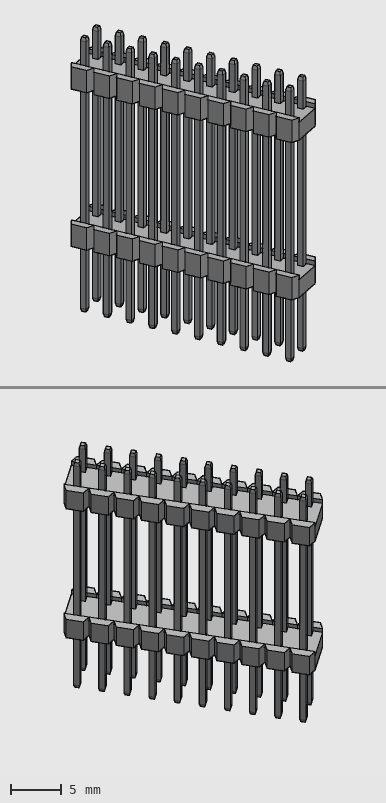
import cadquery as cq

PITCH = 2.54
PINS_PER_ROW = 10
ROW_COUNT = 2

PIN_WIDTH = 0.64
PIN_LENGTH = 30.5
TIP_HEIGHT = 0.38
TIP_INSET = 0.1

STRIP_LENGTH = PINS_PER_ROW * PITCH
STRIP_WIDTH = 5.0
STRIP_HEIGHT = 2.5
LOWER_STRIP_BOTTOM = 7.5
STRIP_SPACING = 17.5
NOTCH_DEPTH = 0.8
NOTCH_HALF_WIDTH = 0.4
CHANNEL_DEPTH = 0.5
WEB_THICKNESS = 0.02
CHANNEL_WIDTH = STRIP_WIDTH - 2 * (NOTCH_DEPTH + WEB_THICKNESS)


def centred_positions(count):
    """Pitch-spaced positions, symmetric about zero."""
    return [(index - (count - 1) / 2) * PITCH for index in range(count)]


def strip_outline():
    """Toothed outline: one trapezoidal tooth per pin along both long edges."""
    tooth_base = STRIP_WIDTH / 2 - NOTCH_DEPTH
    tooth_top = STRIP_WIDTH / 2
    flat_half_width = PITCH / 2 - NOTCH_HALF_WIDTH
    front_edge = [(-STRIP_LENGTH / 2, -tooth_base)]
    for x in centred_positions(PINS_PER_ROW):
        front_edge.append((x - flat_half_width, -tooth_top))
        front_edge.append((x + flat_half_width, -tooth_top))
        front_edge.append((x + PITCH / 2, -tooth_base))
    back_edge = [(x, -y) for x, y in reversed(front_edge)]
    return front_edge + back_edge


def make_strip(bottom):
    """Insulator strip with a shallow open-ended channel along its top."""
    outline = cq.Workplane("XY", origin=(0, 0, bottom)).polyline(strip_outline()).close()
    body = outline.extrude(STRIP_HEIGHT)
    floor = bottom + STRIP_HEIGHT - CHANNEL_DEPTH
    channel_base = cq.Workplane("XY", origin=(0, 0, floor)).rect(STRIP_LENGTH, CHANNEL_WIDTH)
    channel = channel_base.extrude(CHANNEL_DEPTH)
    return body.cut(channel)


def make_tip(shaft_end, tip_end):
    """Tapered pin end narrowing from the shaft to a smaller square."""
    tip_width = PIN_WIDTH - 2 * TIP_INSET
    shaft_square = cq.Workplane("XY", origin=(0, 0, shaft_end)).rect(PIN_WIDTH, PIN_WIDTH)
    return shaft_square.workplane(offset=tip_end - shaft_end).rect(tip_width, tip_width).loft(ruled=True)


def make_pin():
    """Square pin on the Z axis, tapered at both ends."""
    shaft_bottom = TIP_HEIGHT
    shaft_top = PIN_LENGTH - TIP_HEIGHT
    shaft = cq.Workplane("XY", origin=(0, 0, shaft_bottom)).rect(PIN_WIDTH, PIN_WIDTH)
    pin = shaft.extrude(shaft_top - shaft_bottom)
    return pin.union(make_tip(shaft_bottom, 0)).union(make_tip(shaft_top, PIN_LENGTH))


result = make_strip(LOWER_STRIP_BOTTOM).union(make_strip(LOWER_STRIP_BOTTOM + STRIP_SPACING))
pin = make_pin()
for pin_x in centred_positions(PINS_PER_ROW):
    for pin_y in centred_positions(ROW_COUNT):
        result = result.union(pin.translate((pin_x, pin_y, 0)))